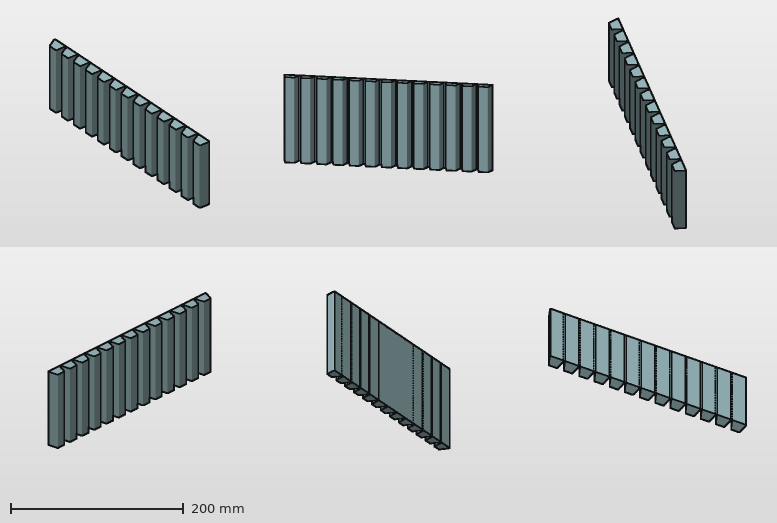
import cadquery as cq

belt_width = 245.4
belt_depth = 12.8
belt_length = 101.5

rib_count = 13
rib_gap = 2.25
tip_width = 10.5
shoulder_depth = 2.2
tie_thickness = 1.2
tip_radius = 0.7

rib_width = (belt_width - (rib_count - 1) * rib_gap) / rib_count
rib_pitch = rib_width + rib_gap
back_y = belt_depth / 2
tip_y = back_y - belt_depth
shoulder_y = back_y - shoulder_depth


def make_rib(center_x):
    """One V-shaped rib with straight shoulders and rounded tip edges."""
    half_width = rib_width / 2
    half_tip = tip_width / 2
    rib = (
        cq.Workplane("XY")
        .moveTo(-half_width, back_y)
        .lineTo(half_width, back_y)
        .lineTo(half_width, shoulder_y)
        .lineTo(half_tip, tip_y)
        .lineTo(-half_tip, tip_y)
        .lineTo(-half_width, shoulder_y)
        .close()
        .extrude(belt_length / 2, both=True)
    )
    return rib.faces("<Y").edges("|Z").fillet(tip_radius).translate((center_x, 0, 0))


tie_center_y = back_y - tie_thickness / 2
result = (
    cq.Workplane("XY")
    .box(belt_width, tie_thickness, belt_length)
    .translate((0, tie_center_y, 0))
)

first_rib_x = -(belt_width - rib_width) / 2
for index in range(rib_count):
    result = result.union(make_rib(first_rib_x + index * rib_pitch))